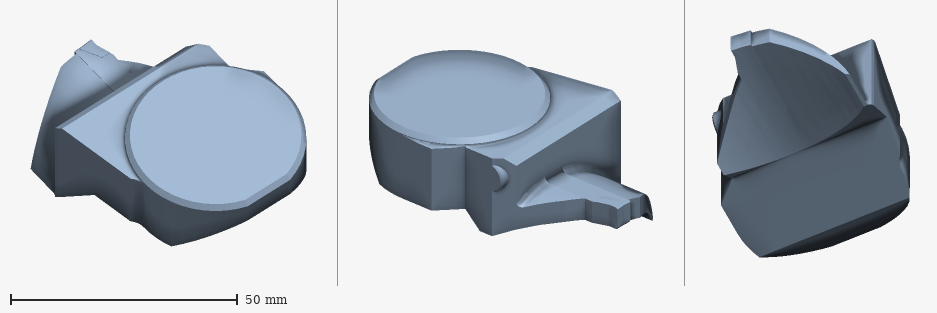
import cadquery as cq
import math


HEAD_RADIUS = 20.0
HEAD_CHAMFER = 1.1
HEAD_FLAT_X = 19.1
HEAD_FILLET = 0.5
BASE_Z = -17.65
HEAD_SLOPE_START_X = 7.8

SHOULDER_Z = -1.8
FACE_X = -25.4
FACE_CHAMFER_LENGTH = 2.2
FACE_CHAMFER_DROP = 1.95
FRONT_Y = -25.05
FRONT_FLAT = 1.1
FRONT_TAPER = 10.0
FRONT_TAPER_END_X = -3.1
BACK_Y = 14.75
LUG_START_X = -8.35
CORNER_Y = 11.3
CORNER_ANGLE = 40.0
BLOCK_SLOPE_START_X = -13.7
BOTTOM_Z = -30.0

BOSS_RADIUS = 3.7
BOSS_CHAMFER = 0.4
BOSS_X = -20.4
BOSS_Z = -6.95

BLADE_TIP_X = -44.0
ARC_Y = 0.25
UPPER_RADIUS = 26.0
UPPER_AXIS_Z = -38.4
LOWER_RADIUS = 29.3
LOWER_AXIS_Z = -47.2
BLADE_FILLET = 1.5
BLADE_FRONT_Y = -9.05
BLADE_FRONT_ANGLE = 30.0
BLADE_BREAK_Y = 4.5

INSERT_TIP_X = -45.0
INSERT_FRONT_FACE_X = -44.8
INSERT_EDGE_END_Y = -2.4
INSERT_END_X = FACE_X + 0.1
INSERT_FRONT_Y = -4.7
INSERT_BACK_Y = 1.3
INSERT_TIP_Y = 0.05
INSERT_TAPER_START_X = -42.7
INSERT_TAPER_END_X = -38.7
INSERT_CORNER_RADIUS = 1.3
INSERT_BACK_Z = -12.45
INSERT_FRONT_Z = -12.75
HEEL_CHAMFER_LENGTH = 0.6
HEEL_CHAMFER_TOP_Z = -17.4
HEEL_CHAMFER_DROP = 1.0
LAND_LENGTH = 0.45
LAND_DROP = 0.4
RAKE_RISE = 0.1
TABLE_END_X = -39.5
TABLE_CORNER_Y = -1.1
TABLE_FRONT_Y = -3.7

RELIEF_FLOOR_Z = -12.4
RELIEF_TOP_Z = -11.0

CLEAR = 60.0
OVERLAP = 1.0


def prism(points, bottom, top):
    return cq.Workplane("XY").workplane(offset=bottom).polyline(points).close().extrude(top - bottom)


def side_prism(points):
    """Extrude an XZ outline across the whole part along Y."""
    return cq.Workplane("XZ").polyline(points).close().extrude(CLEAR, both=True)


def cylinder_along_x(radius, axis_z):
    return (
        cq.Workplane("YZ").center(ARC_Y, axis_z).circle(radius).extrude(CLEAR, both=True)
    )


corner_slope = math.tan(math.radians(CORNER_ANGLE))
corner_back_x = FACE_X + (BACK_Y - CORNER_Y) / corner_slope
break_x = FACE_X - (CORNER_Y - BLADE_BREAK_Y) / corner_slope


def make_head():
    disc = (
        cq.Workplane("XY").workplane(offset=BASE_Z)
        .circle(HEAD_RADIUS).extrude(-BASE_Z)
        .faces(">Z").chamfer(HEAD_CHAMFER)
    )
    slope_end_z = BASE_Z + (HEAD_FLAT_X - HEAD_SLOPE_START_X)
    side_outline = side_prism([
        (-HEAD_RADIUS, BASE_Z),
        (HEAD_SLOPE_START_X, BASE_Z),
        (HEAD_FLAT_X, slope_end_z),
        (HEAD_FLAT_X, -HEAD_CHAMFER),
        (HEAD_FLAT_X - HEAD_CHAMFER, 0),
        (-HEAD_RADIUS, 0),
    ])
    return disc.intersect(side_outline)


def block_outline():
    taper_start_x = FACE_X + FRONT_FLAT
    taper_end_y = FRONT_Y + (FRONT_TAPER_END_X - taper_start_x) * math.tan(math.radians(FRONT_TAPER))
    run = -FRONT_TAPER_END_X
    rise = -HEAD_RADIUS - taper_end_y
    arc_radius = (run ** 2 + rise ** 2) / (2 * rise)
    half_angle = math.asin(run / arc_radius) / 2
    arc_middle = (
        -arc_radius * math.sin(half_angle),
        -HEAD_RADIUS - arc_radius * (1 - math.cos(half_angle)),
    )
    return (
        cq.Workplane("XY").workplane(offset=BOTTOM_Z)
        .moveTo(FACE_X, FRONT_Y)
        .lineTo(taper_start_x, FRONT_Y)
        .lineTo(FRONT_TAPER_END_X, taper_end_y)
        .threePointArc(arc_middle, (0, -HEAD_RADIUS))
        .lineTo(0, HEAD_RADIUS)
        .lineTo(LUG_START_X, HEAD_RADIUS)
        .lineTo(LUG_START_X - (HEAD_RADIUS - BACK_Y), BACK_Y)
        .lineTo(corner_back_x, BACK_Y)
        .lineTo(FACE_X, CORNER_Y)
        .close()
    )


def make_block():
    block = block_outline().extrude(SHOULDER_Z - BOTTOM_Z)
    chamfer = side_prism([
        (FACE_X, SHOULDER_Z),
        (FACE_X + FACE_CHAMFER_LENGTH, SHOULDER_Z),
        (FACE_X, SHOULDER_Z - FACE_CHAMFER_DROP),
    ])
    return block.cut(chamfer)


def make_head_fillet():
    """Ring with a concave fillet, kept inside the outline of the block."""
    outer = HEAD_RADIUS + HEAD_FILLET
    top = SHOULDER_Z + HEAD_FILLET
    middle = HEAD_FILLET * (1 - math.sqrt(0.5))
    ring = (
        cq.Workplane("XZ")
        .moveTo(HEAD_RADIUS - OVERLAP, SHOULDER_Z)
        .lineTo(outer, SHOULDER_Z)
        .threePointArc((HEAD_RADIUS + middle, SHOULDER_Z + middle), (HEAD_RADIUS, top))
        .lineTo(HEAD_RADIUS - OVERLAP, top)
        .close()
        .revolve(360, (0, 0), (0, 1))
    )
    return ring.intersect(block_outline().extrude(-BOTTOM_Z))


def make_blade():
    """Round bar about the upper axis, flared by the fillet and trimmed to the blade outline."""
    fillet_middle = BLADE_FILLET * (1 - math.sqrt(0.5))
    bar = (
        cq.Workplane("XZ", origin=(0, ARC_Y, UPPER_AXIS_Z))
        .moveTo(BLADE_TIP_X, 0)
        .lineTo(BLADE_TIP_X, UPPER_RADIUS)
        .lineTo(FACE_X - BLADE_FILLET, UPPER_RADIUS)
        .threePointArc(
            (FACE_X - fillet_middle, UPPER_RADIUS + fillet_middle),
            (FACE_X, UPPER_RADIUS + BLADE_FILLET),
        )
        .lineTo(FACE_X, 0)
        .close()
        .revolve(360, (0, 0), (1, 0))
    )
    front_run = (BLADE_FRONT_Y - FRONT_Y) * math.tan(math.radians(BLADE_FRONT_ANGLE))
    insert_side_x = break_x - (BLADE_BREAK_Y - INSERT_BACK_Y)
    outline = prism([
        (BLADE_TIP_X, BLADE_FRONT_Y),
        (BLADE_TIP_X + front_run, FRONT_Y),
        (FACE_X, FRONT_Y),
        (FACE_X, CORNER_Y),
        (break_x, BLADE_BREAK_Y),
        (insert_side_x, INSERT_BACK_Y),
        (insert_side_x, INSERT_FRONT_Y),
        (BLADE_TIP_X, INSERT_FRONT_Y),
    ], BOTTOM_Z, 0)
    return bar.intersect(outline)


def make_boss():
    boss = (
        cq.Workplane("XZ", origin=(BOSS_X, BACK_Y, BOSS_Z))
        .circle(BOSS_RADIUS).extrude(BACK_Y - CORNER_Y + OVERLAP)
    )
    return boss.faces(">Y").chamfer(BOSS_CHAMFER)


def insert_outline():
    return (
        cq.Workplane("XY").workplane(offset=BOTTOM_Z)
        .moveTo(INSERT_TIP_X, INSERT_TIP_Y)
        .lineTo(INSERT_TAPER_START_X, INSERT_TIP_Y)
        .lineTo(INSERT_TAPER_END_X, INSERT_BACK_Y)
        .lineTo(INSERT_END_X - INSERT_CORNER_RADIUS, INSERT_BACK_Y)
        .radiusArc((INSERT_END_X, INSERT_BACK_Y - INSERT_CORNER_RADIUS), INSERT_CORNER_RADIUS)
        .lineTo(INSERT_END_X, INSERT_FRONT_Y)
        .lineTo(INSERT_FRONT_FACE_X, INSERT_FRONT_Y)
        .lineTo(INSERT_FRONT_FACE_X, INSERT_EDGE_END_Y)
        .close()
    )


def below_tilted_top(rise):
    """Space below the insert's top plane, which drops slightly towards -Y, raised by `rise`."""
    return (
        cq.Workplane("YZ")
        .polyline([
            (INSERT_BACK_Y, BOTTOM_Z),
            (INSERT_BACK_Y, INSERT_BACK_Z + rise),
            (INSERT_FRONT_Y, INSERT_FRONT_Z + rise),
            (INSERT_FRONT_Y, BOTTOM_Z),
        ])
        .close().extrude(-CLEAR)
    )


def make_insert():
    full = insert_outline().extrude(-BOTTOM_Z)
    bar = full.intersect(below_tilted_top(0))
    table_outline = prism([
        (INSERT_TIP_X, INSERT_BACK_Y),
        (TABLE_END_X, INSERT_BACK_Y),
        (TABLE_END_X, TABLE_CORNER_Y),
        (INSERT_FRONT_FACE_X, TABLE_FRONT_Y),
        (INSERT_TIP_X, TABLE_FRONT_Y),
    ], BOTTOM_Z, 0)
    table = full.intersect(table_outline).intersect(below_tilted_top(RAKE_RISE))
    tilt = math.degrees(math.atan2(INSERT_BACK_Z - INSERT_FRONT_Z, INSERT_BACK_Y - INSERT_FRONT_Y))
    slant = math.degrees(math.atan2(INSERT_FRONT_FACE_X - INSERT_TIP_X, INSERT_TIP_Y - TABLE_FRONT_Y))
    edge_z = INSERT_BACK_Z + RAKE_RISE
    land = side_prism([
        (INSERT_TIP_X - LAND_LENGTH, edge_z - 2 * LAND_DROP),
        (INSERT_TIP_X + LAND_LENGTH, edge_z),
        (INSERT_TIP_X + 2 * LAND_LENGTH, edge_z + LAND_DROP),
        (INSERT_TIP_X - LAND_LENGTH, edge_z + LAND_DROP),
    ])
    land = land.rotate((0, INSERT_TIP_Y, edge_z), (1, INSERT_TIP_Y, edge_z), tilt)
    land = land.rotate((INSERT_TIP_X, INSERT_TIP_Y, 0), (INSERT_TIP_X, INSERT_TIP_Y, 1), slant)
    heel_chamfer = side_prism([
        (INSERT_TIP_X, HEEL_CHAMFER_TOP_Z),
        (INSERT_TIP_X + HEEL_CHAMFER_LENGTH, HEEL_CHAMFER_TOP_Z - HEEL_CHAMFER_DROP),
        (INSERT_TIP_X, HEEL_CHAMFER_TOP_Z - HEEL_CHAMFER_DROP),
    ])
    underside = cylinder_along_x(LOWER_RADIUS, LOWER_AXIS_Z)
    return bar.union(table).cut(underside).cut(heel_chamfer).cut(land)


def make_holder():
    body = make_block().union(make_blade())
    body = body.cut(side_prism([
        (BLOCK_SLOPE_START_X - CLEAR, BASE_Z - CLEAR),
        (BLOCK_SLOPE_START_X, BASE_Z),
        (CLEAR, BASE_Z),
        (CLEAR, BASE_Z - CLEAR),
    ]))
    body = body.cut(cylinder_along_x(LOWER_RADIUS, LOWER_AXIS_Z))
    body = body.union(make_head()).union(make_head_fillet()).union(make_boss())
    relief_start_x = INSERT_END_X - INSERT_CORNER_RADIUS
    relief = prism([
        (relief_start_x, INSERT_FRONT_Y),
        (INSERT_END_X, INSERT_FRONT_Y),
        (INSERT_END_X, INSERT_BACK_Y),
        (relief_start_x, INSERT_BACK_Y),
    ], RELIEF_FLOOR_Z, RELIEF_TOP_Z)
    insert_seat = insert_outline().extrude(RELIEF_TOP_Z - BOTTOM_Z)
    return body.cut(relief).cut(insert_seat)


holder = make_holder()
insert = make_insert()

result = cq.Compound.makeCompound([holder.val(), insert.val()])